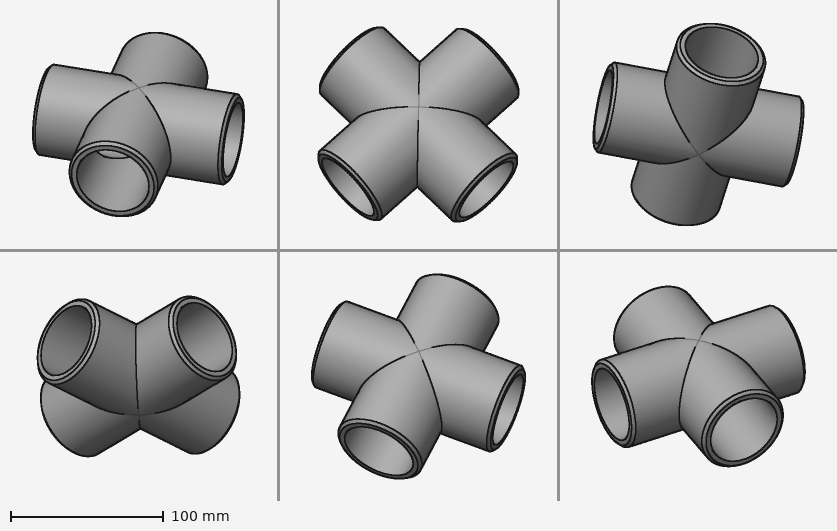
import cadquery as cq

length = 128.0
outer_diameter = 60.0
bore_diameter = 49.0
end_chamfer = 2.0


def centred_cylinder(plane, diameter):
    """Solid cylinder of full length, centred on the origin along the plane's normal."""
    return cq.Workplane(plane).circle(diameter / 2).extrude(length / 2, both=True)


def outer_pipe(plane):
    """Outside of one straight run, with both rims chamfered."""
    return centred_cylinder(plane, outer_diameter).edges("%CIRCLE").chamfer(end_chamfer)


body = outer_pipe("YZ").union(outer_pipe("XZ"))

for plane in ("YZ", "XZ"):
    body = body.cut(centred_cylinder(plane, bore_diameter))

result = body